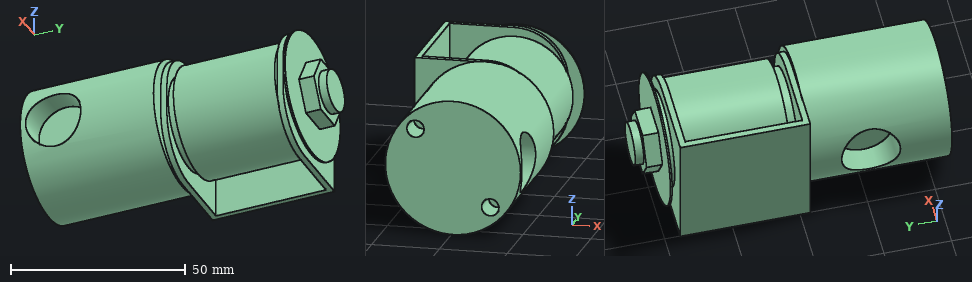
import cadquery as cq
import math


head_radius = 20.0
head_length = 42.0
neck_radius = 14.4
front_neck_length = 2.8
barrel_radius = 17.1
barrel_length = 31.8
rear_neck_length = 2.0
washer_radius = 19.5
washer_thickness = 0.5
nut_across_flats = 17.0
nut_across_corners = nut_across_flats / math.cos(math.pi / 6)
nut_thickness = 4.7
stud_radius = 6.4
overall_length = 90.4

port_radius = 8.7
port_floor_x = 10.5
left_port_y = 24.0
right_port_y = 10.4
end_hole_radius = 2.5
end_hole_offset = 11.0
end_hole_depth = 9.0

bracket_thickness = 1.9
bracket_half_height = 19.7
bracket_back_x = -21.2
bracket_tip_x = 15.4
tip_corner_radius = bracket_tip_x
tip_half_height = bracket_half_height - tip_corner_radius
bracket_gap = 0.3

bracket_front = head_length + bracket_gap
barrel_start = bracket_front + bracket_thickness + front_neck_length
barrel_end = barrel_start + barrel_length
bracket_rear = barrel_end + bracket_thickness
washer_start = bracket_rear + rear_neck_length
nut_start = washer_start + washer_thickness
nut_end = nut_start + nut_thickness


def section_plane(y):
    """Plane across the axis at y: local x is X, local y is Z, extrusion runs toward -Y."""
    return cq.Workplane("XZ", origin=(0, y, 0))


def rod(radius, start, end):
    """Cylinder about the Y axis from start to end."""
    return section_plane(start).circle(radius).extrude(start - end)


def port(y, side):
    """Cutter for a blind radial port; side is -1 for -X and +1 for +X."""
    depth = head_radius - port_floor_x
    return (
        cq.Workplane("YZ", origin=(side * port_floor_x, y, 0))
        .circle(port_radius)
        .extrude(side * depth)
    )


def make_spindle():
    """Ported head, necks, barrel, washer, hex nut and stud as one turned body."""
    nut = section_plane(nut_start).polygon(6, nut_across_corners).extrude(-nut_thickness)
    end_holes = (
        section_plane(end_hole_depth)
        .pushPoints([(-end_hole_offset, end_hole_offset), (end_hole_offset, -end_hole_offset)])
        .circle(end_hole_radius)
        .extrude(end_hole_depth)
    )
    return (
        rod(head_radius, 0, head_length)
        .union(rod(neck_radius, head_length, washer_start))
        .union(rod(barrel_radius, barrel_start, barrel_end))
        .union(rod(washer_radius, washer_start, nut_start))
        .union(nut)
        .union(rod(stud_radius, nut_end, overall_length))
        .cut(port(left_port_y, -1))
        .cut(port(right_port_y, 1))
        .cut(end_holes)
    )


def make_bracket():
    """U-shaped strap with rounded leg corners, bored for the spindle necks."""
    blank = (
        section_plane(bracket_front)
        .moveTo(bracket_back_x, -bracket_half_height)
        .lineTo(0, -bracket_half_height)
        .radiusArc((bracket_tip_x, -tip_half_height), -tip_corner_radius)
        .lineTo(bracket_tip_x, tip_half_height)
        .radiusArc((0, bracket_half_height), -tip_corner_radius)
        .lineTo(bracket_back_x, bracket_half_height)
        .close()
        .extrude(bracket_front - bracket_rear)
    )
    inner_back_x = bracket_back_x + bracket_thickness
    inner_front = bracket_front + bracket_thickness
    opening = cq.Workplane("XY").box(
        bracket_tip_x - inner_back_x,
        barrel_end - inner_front,
        2 * bracket_half_height,
        centered=(False, False, True),
    ).translate((inner_back_x, inner_front, 0))
    bore = rod(neck_radius, bracket_front, bracket_rear)
    return blank.cut(opening).cut(bore)


spindle = make_spindle()
bracket = make_bracket()
result = cq.Compound.makeCompound([spindle.val(), bracket.val()])